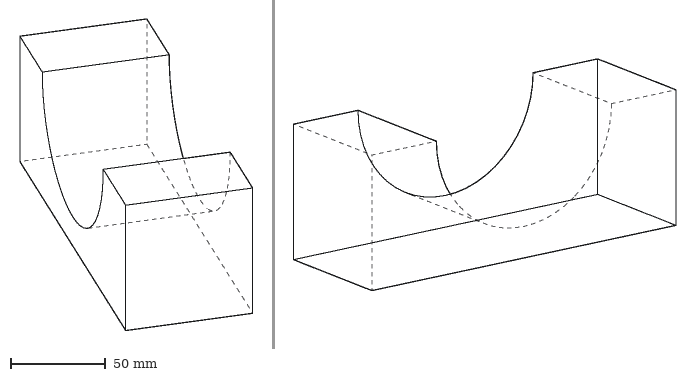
import cadquery as cq

length = 200.0
width = 70.0
height = 75.0
saddle_diameter = 115.0


def make_block():
    """Rectangular block centred in X and Y, standing on Z = 0."""
    return cq.Workplane("XY").box(length, width, height, centered=(True, True, False))


def make_saddle_cutter():
    """Cylinder along Y through the full width, with its axis in the top face."""
    return (
        cq.Workplane("XZ", origin=(0, width / 2, height))
        .circle(saddle_diameter / 2)
        .extrude(width)
    )


result = make_block().cut(make_saddle_cutter())